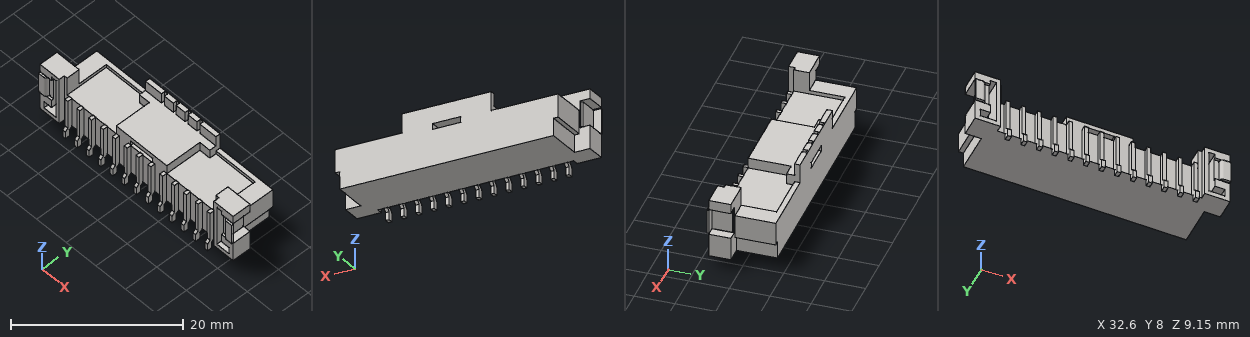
import cadquery as cq


pin_count = 13
pin_row_length = 24.0
pitch = pin_row_length / (pin_count - 1)
pin_width = 0.5
pin_thickness = 0.7
pin_front_depth = 7.6
pin_top = 4.82
foot_front_depth = 8.0
foot_bottom = -1.4
bend_start = 0.15

overall_length = 32.6
overall_height = 7.75
wall = 0.7
housing_length = 29.73
housing_depth = 6.95
rim_height = 5.28
floor_height = 4.8
undercut_height = 2.25
undercut_inset = 0.62

block_back_depth = 5.02
block_front_depth = 7.75
block_width = 3.25
shoulder_width = 3.75
pocket_depth = 2.28
pocket_inner = 2.75
pocket_outer = 1.95
step_depth = 0.33
pocket_foot_top = 1.75
notch_bottom = 3.03
notch_top = 6.5

clip_clearance = 0.13
clip_thickness = 0.3
clip_width = 1.3
clip_bend_radius = 0.42
clip_back_depth = 5.15

centre_top = 6.15
centre_wide = 11.9
centre_narrow = 8.55
centre_wide_depth = 1.65
comb_slot_count = 4
comb_slot_depth = 0.52
window_width = 3.72
window_bottom = 4.73
window_top = 5.48
latch_width = 2.95
latch_height = 0.5
latch_front_depth = 3.25
latch_back_depth = 1.63


def box(x_range, depth_range, z_range):
    """Box between two X values, two depths from the back face and two heights."""
    length = x_range[1] - x_range[0]
    depth = depth_range[1] - depth_range[0]
    height = z_range[1] - z_range[0]
    corner = (x_range[0], -depth_range[1], z_range[0])
    return cq.Workplane("XY").box(length, depth, height, centered=False).translate(corner)


def centred_box(length, depth_range, z_range):
    return box((-length / 2, length / 2), depth_range, z_range)


def side_profile(points, width):
    """Extrude (depth, height) points by width along X, centred on X = 0."""
    outline = [(-depth, height) for depth, height in points]
    return cq.Workplane("YZ").polyline(outline).close().extrude(width / 2, both=True)


def row_positions(count):
    return [(i - (count - 1) / 2) * pitch for i in range(count)]


def make_housing():
    lower_length = housing_length - 2 * undercut_inset
    recess_length = overall_length - 2 * shoulder_width
    lower = centred_box(lower_length, (0, housing_depth), (0, undercut_height))
    upper = centred_box(housing_length, (0, housing_depth), (undercut_height, rim_height))
    recess = centred_box(recess_length, (wall, housing_depth), (floor_height, rim_height))
    return lower.union(upper).cut(recess)


def make_centre():
    """Raised T-shaped deck with a slotted wall along the back."""
    deck_heights = (floor_height, centre_top)
    wall_heights = (centre_top, overall_height)
    centre = centred_box(centre_wide, (0, centre_wide_depth), deck_heights)
    centre = centre.union(centred_box(centre_narrow, (0, housing_depth), deck_heights))
    centre = centre.union(centred_box(centre_wide, (0, wall), wall_heights))
    comb_slot = centred_box(pin_width, (wall - comb_slot_depth, wall), wall_heights)
    for x in row_positions(comb_slot_count):
        centre = centre.cut(comb_slot.translate((x, 0, 0)))
    return centre


def make_window():
    return centred_box(window_width, (0, housing_depth), (window_bottom, window_top))


def make_latch():
    """Sloped catch hanging from the roof of the window."""
    latch_bottom = window_top - latch_height
    points = [
        (latch_front_depth, latch_bottom),
        (latch_front_depth - latch_height, window_top),
        (latch_back_depth, window_top),
        (latch_back_depth, latch_bottom),
    ]
    return side_profile(points, latch_width)


def make_left_block():
    """End block with a narrower shoulder on its inner side."""
    edge = -overall_length / 2
    heights = (0, overall_height)
    block = box((edge, edge + block_width), (block_back_depth, block_front_depth), heights)
    shoulder_x = (edge + block_width, edge + shoulder_width)
    return block.union(box(shoulder_x, (block_back_depth, housing_depth), heights))


def make_left_cavity():
    """L-shaped front pocket, side notch for the clip and the shallow step between them."""
    edge = -overall_length / 2
    pocket_depths = (block_front_depth - pocket_depth, block_front_depth)
    notch_depths = (block_back_depth, block_front_depth)
    step_depths = (block_front_depth - step_depth, block_front_depth)
    notch_heights = (notch_bottom, notch_top)
    pocket = box((edge + pocket_outer, edge + pocket_inner), pocket_depths, (wall, overall_height - wall))
    pocket_foot = box((edge + wall, edge + pocket_inner), pocket_depths, (wall, pocket_foot_top))
    notch = box((edge, edge + clip_width), notch_depths, notch_heights)
    step = box((edge, edge + pocket_outer), step_depths, notch_heights)
    return pocket.union(pocket_foot).union(notch).union(step)


def make_left_clip():
    """Bent strip: a leg along the notch wall and a flange across its front."""
    edge = -overall_length / 2
    heights = (notch_bottom + clip_clearance, notch_top - clip_clearance)
    leg_x = (edge + clip_width - clip_thickness, edge + clip_width)
    flange_depths = (foot_front_depth - clip_thickness, foot_front_depth)
    leg = box(leg_x, (clip_back_depth, foot_front_depth), heights)
    flange = box((edge, edge + clip_width), flange_depths, heights)
    return leg.union(flange).edges("|Z and >X and <Y").fillet(clip_bend_radius)


def make_pin():
    """Vertical contact that jogs forward at 45 degrees into a solder foot."""
    jog = foot_front_depth - pin_front_depth
    pin_back_depth = pin_front_depth - pin_thickness
    points = [
        (pin_back_depth, pin_top),
        (pin_front_depth, pin_top),
        (pin_front_depth, bend_start),
        (foot_front_depth, bend_start - jog),
        (foot_front_depth, foot_bottom),
        (foot_front_depth - pin_thickness, foot_bottom),
        (foot_front_depth - pin_thickness, -jog),
        (pin_back_depth, 0),
    ]
    return side_profile(points, pin_width)


result = make_housing().union(make_centre()).cut(make_window()).union(make_latch())

left_block = make_left_block()
left_cavity = make_left_cavity()
left_clip = make_left_clip()
result = result.union(left_block).union(left_block.mirror("YZ"))
result = result.cut(left_cavity).cut(left_cavity.mirror("YZ"))
result = result.union(left_clip).union(left_clip.mirror("YZ"))

pin = make_pin()
for pin_x in row_positions(pin_count):
    result = result.union(pin.translate((pin_x, 0, 0)))